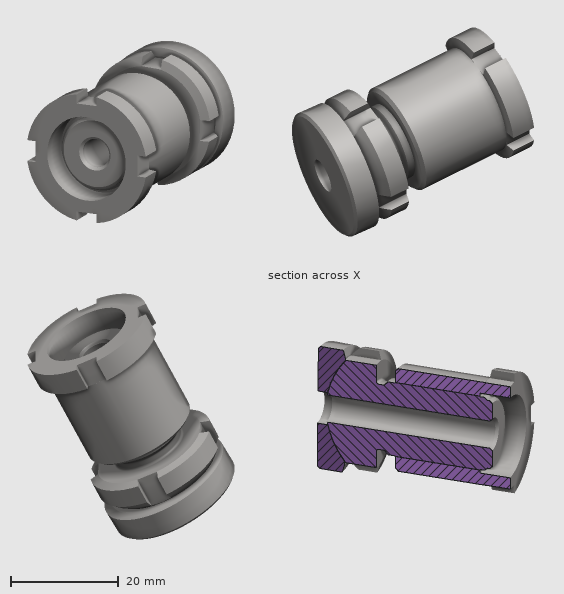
import cadquery as cq
import math


EDGE_ANGLE = math.radians(15)
SLOT_WIDTH = 4.05
SLOT_FLOOR_RADIUS = 10.48
SLOT_CUT_DEPTH = 3.9
SLOT_COUNT = 4
THREAD_RADIUS = 7.48

FLANGE_RADIUS = 12.4
FLANGE_EDGE_Y = 4.48
SLEEVE_RADIUS = 10.5
SLEEVE_LENGTH = 22.98
SLEEVE_CHAMFER = 0.62
COUNTERBORE_RADIUS = 8.1
COUNTERBORE_DEPTH = 6.0

SCREW_START_Y = 3.6
END_FACE_RADIUS = 6.43
TIP_RADIUS = 6.97
TIP_LAND_LENGTH = 0.5
NECK_RADIUS = 6.7
NECK_FILLET = 0.45
CONE_ANGLE = math.radians(45)
THREAD_END_Y = 24.4
HEAD_START_Y = 26.7
HEAD_RADIUS = 12.4
HEAD_FACE_RADIUS = 10.65
HEAD_EDGE_Y = 30.93
DOME_RADIUS = 15.97
SCREW_BORE_RADIUS = 2.73
BORE_CHAMFER = 0.5
HEAD_TURN = 2.1

WASHER_RADIUS = 12.5
WASHER_THICKNESS = 5.5
WASHER_TOP_CHAMFER = 0.5
WASHER_BOTTOM_RADIUS = 10.9
WASHER_BORE_RADIUS = SCREW_BORE_RADIUS + BORE_CHAMFER
TILT_ABOUT_Z = -2.4
TILT_ABOUT_X = 0.5
WASHER_TOP_Y = 38.45

DOME_CENTRE_Y = HEAD_EDGE_Y - math.sqrt(DOME_RADIUS**2 - HEAD_RADIUS**2)


def revolve_about_y(profile):
    """Revolve a closed (radius, y) profile a full turn about the Y axis."""
    return profile.close().revolve(360, (0, 0, 0), (0, 1, 0))


def cut_rim_slots(body, start_y, length, turn):
    """Cut flat-floored slots into a rim, equally spaced from the +X direction plus a turn."""
    slot = (
        cq.Workplane("XY")
        .box(SLOT_CUT_DEPTH, length, SLOT_WIDTH, centered=(False, False, True))
        .translate((SLOT_FLOOR_RADIUS, start_y, 0))
    )
    for index in range(SLOT_COUNT):
        angle = turn + index * 360 / SLOT_COUNT
        body = body.cut(slot.rotate((0, 0, 0), (0, 1, 0), angle))
    return body


def make_sleeve():
    flange_bevel_y = FLANGE_EDGE_Y + (FLANGE_RADIUS - SLEEVE_RADIUS) * math.tan(EDGE_ANGLE)
    profile = (
        cq.Workplane("XY")
        .moveTo(COUNTERBORE_RADIUS, 0)
        .lineTo(FLANGE_RADIUS, 0)
        .lineTo(FLANGE_RADIUS, FLANGE_EDGE_Y)
        .lineTo(SLEEVE_RADIUS, flange_bevel_y)
        .lineTo(SLEEVE_RADIUS, SLEEVE_LENGTH - SLEEVE_CHAMFER)
        .lineTo(SLEEVE_RADIUS - SLEEVE_CHAMFER, SLEEVE_LENGTH)
        .lineTo(THREAD_RADIUS, SLEEVE_LENGTH)
        .lineTo(THREAD_RADIUS, COUNTERBORE_DEPTH)
        .lineTo(COUNTERBORE_RADIUS, COUNTERBORE_DEPTH)
    )
    return cut_rim_slots(revolve_about_y(profile), 0, flange_bevel_y, 0)


def make_screw():
    tip_land_y = SCREW_START_Y + TIP_RADIUS - END_FACE_RADIUS
    thread_bevel_y = tip_land_y + TIP_LAND_LENGTH
    head_bevel_y = HEAD_START_Y + (HEAD_RADIUS - HEAD_FACE_RADIUS) * math.tan(EDGE_ANGLE)
    dome_top_y = DOME_CENTRE_Y + math.sqrt(DOME_RADIUS**2 - SCREW_BORE_RADIUS**2)

    cone_end_y = THREAD_END_Y + THREAD_RADIUS - NECK_RADIUS
    fillet_setback = NECK_FILLET * math.tan(CONE_ANGLE / 2)
    fillet_start_step = fillet_setback * math.cos(CONE_ANGLE)
    fillet_end_y = cone_end_y + fillet_setback

    profile = (
        cq.Workplane("XY")
        .moveTo(SCREW_BORE_RADIUS, SCREW_START_Y + BORE_CHAMFER)
        .lineTo(SCREW_BORE_RADIUS + BORE_CHAMFER, SCREW_START_Y)
        .lineTo(END_FACE_RADIUS, SCREW_START_Y)
        .lineTo(TIP_RADIUS, tip_land_y)
        .lineTo(TIP_RADIUS, thread_bevel_y)
        .lineTo(THREAD_RADIUS, thread_bevel_y + THREAD_RADIUS - TIP_RADIUS)
        .lineTo(THREAD_RADIUS, THREAD_END_Y)
        .lineTo(NECK_RADIUS + fillet_start_step, cone_end_y - fillet_start_step)
        .tangentArcPoint((NECK_RADIUS, fillet_end_y), relative=False)
        .lineTo(NECK_RADIUS, HEAD_START_Y - NECK_FILLET)
        .tangentArcPoint((NECK_RADIUS + NECK_FILLET, HEAD_START_Y), relative=False)
        .lineTo(HEAD_FACE_RADIUS, HEAD_START_Y)
        .lineTo(HEAD_RADIUS, head_bevel_y)
        .lineTo(HEAD_RADIUS, HEAD_EDGE_Y)
        .radiusArc((SCREW_BORE_RADIUS, dome_top_y), -DOME_RADIUS)
    )
    head_length = dome_top_y - HEAD_START_Y
    return cut_rim_slots(revolve_about_y(profile), HEAD_START_Y, head_length, HEAD_TURN)


def make_washer():
    bottom_y = WASHER_TOP_Y - WASHER_THICKNESS
    bevel_y = bottom_y + (WASHER_RADIUS - WASHER_BOTTOM_RADIUS) * math.tan(EDGE_ANGLE)
    profile = (
        cq.Workplane("XY")
        .moveTo(WASHER_BORE_RADIUS, bottom_y)
        .lineTo(WASHER_BOTTOM_RADIUS, bottom_y)
        .lineTo(WASHER_RADIUS, bevel_y)
        .lineTo(WASHER_RADIUS, WASHER_TOP_Y - WASHER_TOP_CHAMFER)
        .lineTo(WASHER_RADIUS - WASHER_TOP_CHAMFER, WASHER_TOP_Y)
        .lineTo(WASHER_BORE_RADIUS, WASHER_TOP_Y)
    )
    pivot = (0, WASHER_TOP_Y, 0)
    tilted = (
        revolve_about_y(profile)
        .rotate(pivot, (0, WASHER_TOP_Y, 1), TILT_ABOUT_Z)
        .rotate(pivot, (1, WASHER_TOP_Y, 0), TILT_ABOUT_X)
    )
    dome = cq.Workplane("XY").sphere(DOME_RADIUS).translate((0, DOME_CENTRE_Y, 0))
    return tilted.cut(dome)


sleeve = make_sleeve().solids().val()
screw = make_screw().solids().val()
washer = make_washer().solids().val()

result = cq.Compound.makeCompound([sleeve, screw, washer])